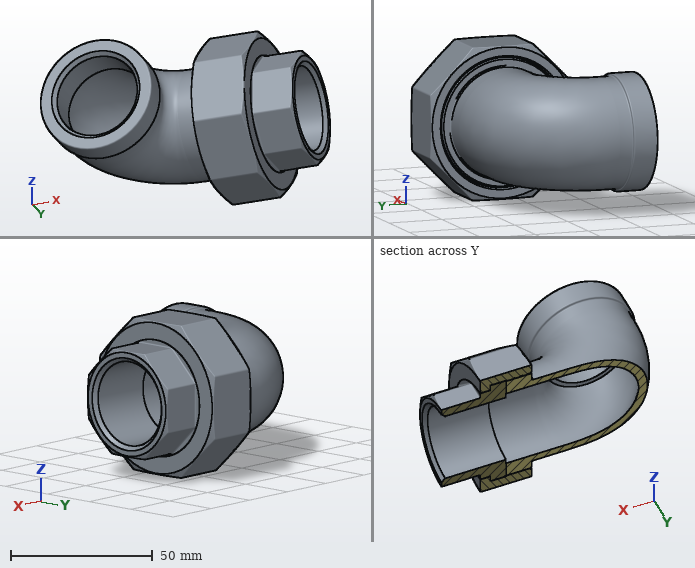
import cadquery as cq
import math

pipe_diameter = 40.0
passage_diameter = 34.0
bend_radius = 24.0
inlet_reach = 38.0
band_diameter = 42.0
band_width = 9.0
band_round = 0.5
root_fillet = 0.5

bore_diameter = 30.29
bore_depth = 13.0
mouth_diameter = 33.25

nut_across_flats = 55.0
nut_start = 32.0
nut_length = 20.0
nut_corner_radius = 1.0
nut_bore_diameter = 46.75
nut_mouth_diameter = 48.0
nut_lip_thickness = 4.0

collar_face_diameter = 45.5
collar_length = 10.0

tail_across_flats = 38.0
tail_end = 67.0
tail_corner_radius = 0.8
tail_neck_diameter = 42.0

bevel_angle = 20.0
bevel_inset = 0.4
bevel_round = 0.4

nut_end = nut_start + nut_length
lip_start = nut_end - nut_lip_thickness
collar_end = nut_start + collar_length
band_shoulder = band_width - inlet_reach
passage_start = bore_depth - inlet_reach
bore_chamfer = (mouth_diameter - bore_diameter) / 2
nut_mouth_chamfer = (nut_mouth_diameter - nut_bore_diameter) / 2
collar_chamfer = (nut_bore_diameter - collar_face_diameter) / 2

octagon_sides = 8
half_side_angle = 180.0 / octagon_sides
select_margin = 0.1


def cylinder_x(diameter, start, end):
    """Cylinder on the X axis."""
    return cq.Workplane("YZ", origin=(start, 0, 0)).circle(diameter / 2).extrude(end - start)


def cylinder_y(diameter, start, end):
    """Cylinder on the Y axis."""
    return cq.Workplane("XZ", origin=(0, start, 0)).circle(diameter / 2).extrude(start - end)


def cone(start_diameter, end_diameter, length, base, direction):
    """Truncated cone that widens or narrows from its base along a direction."""
    solid = cq.Solid.makeCone(
        start_diameter / 2, end_diameter / 2, length, cq.Vector(*base), cq.Vector(*direction)
    )
    return cq.Workplane(solid)


def corner_reach(across_flats):
    """Distance from the axis to a sharp corner of an octagon."""
    return across_flats / 2 / math.cos(math.radians(half_side_angle))


def octagon_x(across_flats, corner_radius, start, end):
    """Octagonal prism on the X axis, with flats facing Y and Z and rounded long edges."""
    return (
        cq.Workplane("YZ", origin=(start, 0, 0))
        .transformed(rotate=(0, 0, half_side_angle))
        .polygon(octagon_sides, 2 * corner_reach(across_flats))
        .extrude(end - start)
        .edges("|X")
        .fillet(corner_radius)
    )


def bevel_end(octagon, across_flats, end, inward):
    """Cut the corners at one end back to a cone, and round where the cone meets the sides.

    inward is +1 or -1, the direction along X from the end into the octagon.
    """
    face_radius = across_flats / 2 - bevel_inset
    rim_radius = corner_reach(across_flats)
    depth = (rim_radius - face_radius) * math.tan(math.radians(bevel_angle))
    waste = (
        cq.Workplane("XY")
        .moveTo(end, face_radius)
        .lineTo(end + inward * depth, rim_radius)
        .lineTo(end, rim_radius)
        .close()
        .revolve(360, (0, 0, 0), (1, 0, 0))
    )
    beveled = octagon.cut(waste)
    near_end = cq.selectors.NearestToPointSelector((end, 0, 0))
    cone_edges = beveled.faces("%CONE").faces(near_end).edges().vals()
    outer_edges = [edge for edge in cone_edges if edge.geomType() != "CIRCLE"]
    return beveled.newObject(outer_edges).fillet(bevel_round)


def swept_leg(diameter, start):
    """Round bar along the elbow's centre line, from a Y position on the inlet to the collar's end."""
    path = (
        cq.Workplane("XY")
        .moveTo(0, start)
        .lineTo(0, -bend_radius)
        .radiusArc((bend_radius, 0), bend_radius)
        .lineTo(collar_end, 0)
    )
    return cq.Workplane("XZ", origin=(0, start, 0)).circle(diameter / 2).sweep(path)


def root_flare():
    """Concave fillet where the pipe meets a shoulder at X = 0, with the pipe on the -X side."""
    radius = pipe_diameter / 2
    arc_middle = root_fillet * (1 - math.sqrt(0.5))
    return (
        cq.Workplane("XY")
        .moveTo(-root_fillet, 0)
        .lineTo(-root_fillet, radius)
        .threePointArc((-arc_middle, radius + arc_middle), (0, radius + root_fillet))
        .lineTo(0, 0)
        .close()
        .revolve(360, (0, 0, 0), (1, 0, 0))
    )


def make_elbow():
    """Bent pipe with a banded inlet socket and a collar for the nut."""
    band = cylinder_y(band_diameter, -inlet_reach, band_shoulder).edges().fillet(band_round)
    band_root = root_flare().rotate((0, 0, 0), (0, 0, 1), -90).translate((0, band_shoulder, 0))
    collar = cylinder_x(nut_bore_diameter, nut_start, collar_end).edges("<X").chamfer(collar_chamfer)
    collar_root = root_flare().translate((nut_start, 0, 0))
    body = swept_leg(pipe_diameter, -inlet_reach)
    body = body.union(band).union(band_root).union(collar).union(collar_root)

    bore = cylinder_y(bore_diameter, -inlet_reach, passage_start)
    passage = swept_leg(passage_diameter, passage_start)
    mouth = cone(mouth_diameter, bore_diameter, bore_chamfer, (0, -inlet_reach, 0), (0, 1, 0))
    return body.cut(bore).cut(passage).cut(mouth)


def make_nut():
    """Octagonal union nut with a chamfered bore and a lip at its +X end."""
    body = octagon_x(nut_across_flats, nut_corner_radius, nut_start, nut_end)
    body = bevel_end(body, nut_across_flats, nut_start, 1)
    body = bevel_end(body, nut_across_flats, nut_end, -1)

    bore = cylinder_x(nut_bore_diameter, nut_start, lip_start)
    lip_hole = cylinder_x(tail_neck_diameter, lip_start, nut_end)
    mouth = cone(nut_mouth_diameter, nut_bore_diameter, nut_mouth_chamfer, (nut_start, 0, 0), (1, 0, 0))
    return body.cut(bore).cut(lip_hole).cut(mouth)


def make_tail():
    """Tail piece: a flange and neck inside the nut, and an octagonal socket outside it."""
    octagon = octagon_x(tail_across_flats, tail_corner_radius, nut_end, tail_end)
    octagon = bevel_end(octagon, tail_across_flats, tail_end, -1)
    body = cylinder_x(tail_neck_diameter, lip_start, nut_end).union(octagon)

    reach = tail_across_flats / 2 + select_margin
    octagon_root = cq.selectors.BoxSelector(
        (nut_end - select_margin, -reach, -reach),
        (nut_end + select_margin, reach, reach),
        boundingbox=True,
    )
    body = body.edges(octagon_root).fillet(root_fillet)

    flange = cylinder_x(nut_bore_diameter, collar_end, lip_start)
    bore = cylinder_x(bore_diameter, collar_end, tail_end)
    mouth = cone(mouth_diameter, bore_diameter, bore_chamfer, (tail_end, 0, 0), (-1, 0, 0))
    return body.union(flange).cut(bore).cut(mouth)


elbow = make_elbow().solids()
nut = make_nut().solids()
tail = make_tail().solids()

result = cq.Compound.makeCompound([elbow.val(), nut.val(), tail.val()])